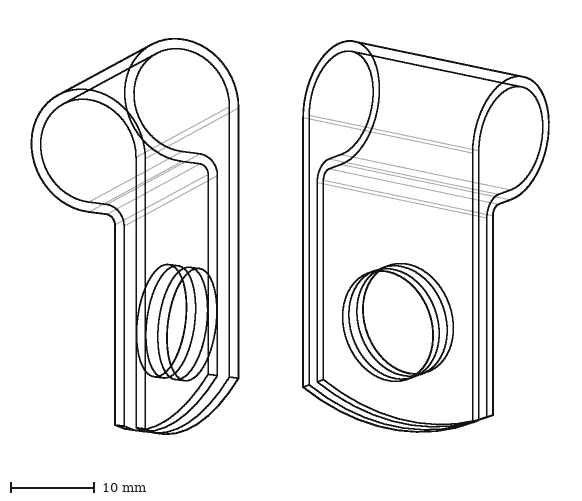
import cadquery as cq
import math

width = 25.4
height = 44.05
loop_radius = 7.6
thickness = 1.25
leg_gap = 1.6
bend_radius = 2.4
hole_diameter = 13.55
hole_height = 12.75
end_drop = 2.95

bore_radius = loop_radius - thickness
bottom_z = loop_radius - height
front_leg_back = bore_radius - leg_gap
front_leg_face = front_leg_back - thickness
bend_x = front_leg_back - bend_radius
bend_z = -bore_radius - bend_radius
inner_bend_radius = bend_radius - thickness
diagonal = math.sqrt(0.5)


def strip():
    """Bent strip: straight back leg, open loop, bend and front leg."""
    profile = (
        cq.Workplane("XZ", origin=(0, width / 2, 0))
        .moveTo(loop_radius, bottom_z)
        .lineTo(loop_radius, 0)
        .threePointArc((-loop_radius * diagonal, loop_radius * diagonal), (0, -loop_radius))
        .lineTo(bend_x, -loop_radius)
        .threePointArc(
            (bend_x + inner_bend_radius * diagonal, bend_z + inner_bend_radius * diagonal),
            (front_leg_face, bend_z),
        )
        .lineTo(front_leg_face, bottom_z)
        .lineTo(front_leg_back, bottom_z)
        .lineTo(front_leg_back, bend_z)
        .threePointArc(
            (bend_x + bend_radius * diagonal, bend_z + bend_radius * diagonal),
            (bend_x, -bore_radius),
        )
        .lineTo(0, -bore_radius)
        .threePointArc((-bore_radius * diagonal, bore_radius * diagonal), (bore_radius, 0))
        .lineTo(bore_radius, bottom_z)
        .close()
    )
    return profile.extrude(width)


def rounded_end_outline():
    """Solid of the side outline, with the lower end rounded in one arc."""
    corner_z = bottom_z + end_drop
    return (
        cq.Workplane("YZ", origin=(-loop_radius, 0, 0))
        .moveTo(-width / 2, loop_radius)
        .lineTo(-width / 2, corner_z)
        .threePointArc((0, bottom_z), (width / 2, corner_z))
        .lineTo(width / 2, loop_radius)
        .close()
        .extrude(2 * loop_radius)
    )


def screw_hole():
    """Cutter passing through both legs."""
    return (
        cq.Workplane("YZ", origin=(-loop_radius, 0, 0))
        .center(0, bottom_z + hole_height)
        .circle(hole_diameter / 2)
        .extrude(2 * loop_radius)
    )


result = strip().intersect(rounded_end_outline()).cut(screw_hole())